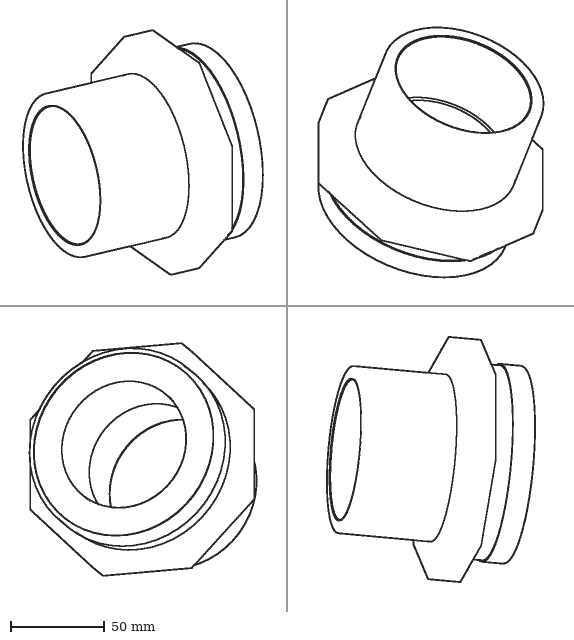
import cadquery as cq
import math


total_length = 92.4
collar_front = 51.0
collar_thickness = 18.1
ring_length = 12.4
socket_depth = 44.3

collar_across_flats = 120.5
collar_side_count = 8
collar_corner_radius = 1.0
collar_edge_radius = 0.5

spigot_diameter = 90.0
spigot_edge_radius = 0.6
sleeve_diameter = 105.0
ring_diameter = 106.5
ring_edge_radius = 1.2
ring_lip_inner_diameter = 101.2

socket_mouth_diameter = 75.4
socket_bottom_diameter = 74.6
socket_mouth_radius = 0.5
bore_diameter = 70.0

ring_wall = (ring_diameter - sleeve_diameter) / 2
ring_start = total_length - ring_length
sleeve_end = total_length - ring_wall
sleeve_edge_radius = ring_edge_radius - ring_wall
collar_back = collar_front + collar_thickness


def cylinder(diameter, start, end):
    """A solid cylinder on the Y axis from Y = start to Y = end."""
    return cq.Workplane("XZ", origin=(0, start, 0)).circle(diameter / 2).extrude(start - end)


def make_collar():
    across_corners = collar_across_flats / math.cos(math.pi / collar_side_count)
    collar = (
        cq.Workplane("XZ", origin=(0, collar_front, 0))
        .transformed(rotate=(0, 0, 180 / collar_side_count))
        .polygon(collar_side_count, across_corners)
        .extrude(-collar_thickness)
    )
    collar = collar.edges("|Y").fillet(collar_corner_radius)
    return collar.faces("<Y or >Y").edges().fillet(collar_edge_radius)


def make_spigot():
    spigot = cylinder(spigot_diameter, 0, collar_front)
    return spigot.faces("<Y").edges().fillet(spigot_edge_radius)


def make_sleeve():
    sleeve = cylinder(sleeve_diameter, collar_back, sleeve_end)
    return sleeve.faces(">Y").edges().fillet(sleeve_edge_radius)


def make_socket_cavity():
    """The tapered pipe socket, flared by a rounded edge at its mouth."""
    mouth = socket_mouth_diameter / 2
    profile = (
        cq.Workplane("XY")
        .lineTo(mouth + socket_mouth_radius, 0)
        .radiusArc((mouth, socket_mouth_radius), -socket_mouth_radius)
        .lineTo(socket_bottom_diameter / 2, socket_depth)
        .lineTo(0, socket_depth)
        .close()
    )
    return profile.revolve(360, (0, 0, 0), (0, 1, 0))


def make_adapter():
    outside = make_collar().union(make_spigot()).union(make_sleeve())
    return outside.cut(make_socket_cavity()).cut(cylinder(bore_diameter, 0, total_length))


def make_ring():
    shell = cylinder(ring_diameter, ring_start, total_length)
    shell = shell.faces(">Y").edges().fillet(ring_edge_radius)
    lip_opening = cylinder(ring_lip_inner_diameter, ring_start, total_length)
    return shell.cut(make_sleeve()).cut(lip_opening)


adapter = make_adapter()
ring = make_ring()

result = cq.Compound.makeCompound([adapter.val(), ring.val()])